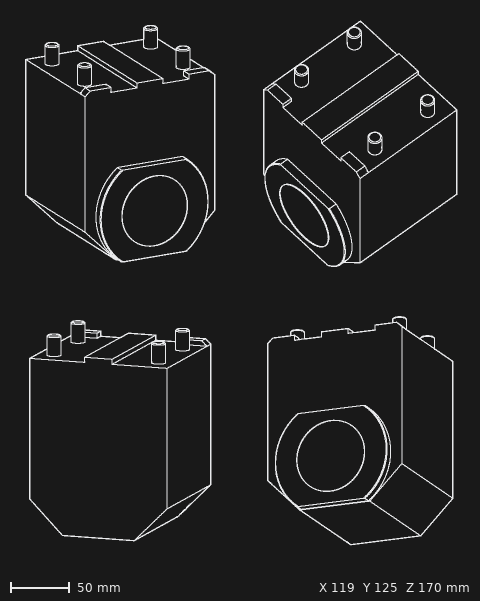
import cadquery as cq

total_length = 119.0
total_height = 170.0
body_length = 110.0
body_width = 125.0
pin_height = 17.5
body_height = total_height - pin_height
bottom_chamfer = 30.0

raised_height = 4.5
rail_width = 25.0
pad_length = 9.7
pad_width = 25.0
pad_chamfer_width = 5.0

pin_diameter = 12.0
pin_chamfer = 1.0
first_pin_x = 20.0
pin_spacing_x = 60.0
pin_spacing_y = 95.0

flange_diameter = 104.2
flange_height = 83.1
flange_center_z = 42.0
flange_edge_chamfer = 0.7
face_disc_diameter = 63.0
face_disc_thickness = 0.7
flange_thickness = total_length - body_length - face_disc_thickness


def make_body():
    """Block with both lower long edges cut at 45 degrees."""
    block = cq.Workplane("XY").box(body_length, body_width, body_height, centered=(False, True, False))
    return block.faces("<Z").edges("|X").chamfer(bottom_chamfer)


def make_rail():
    """Central rail along the whole top face."""
    rail = cq.Workplane("XY").box(body_length, rail_width, raised_height, centered=(False, True, False))
    return rail.translate((0, 0, body_height))


def make_pad():
    """Corner pad at the front +Y corner, sloped on its outer side."""
    outer_y = body_width / 2
    inner_y = outer_y - pad_width
    pad_top = body_height + raised_height
    return (
        cq.Workplane("YZ", origin=(body_length - pad_length, 0, 0))
        .moveTo(inner_y, body_height)
        .lineTo(outer_y, body_height)
        .lineTo(outer_y - pad_chamfer_width, pad_top)
        .lineTo(inner_y, pad_top)
        .close()
        .extrude(pad_length)
    )


def make_pins():
    """Four pins with chamfered tips."""
    center_x = first_pin_x + pin_spacing_x / 2
    return (
        cq.Workplane("XY", origin=(center_x, 0, body_height))
        .rarray(pin_spacing_x, pin_spacing_y, 2, 2)
        .circle(pin_diameter / 2)
        .extrude(pin_height)
        .faces(">Z")
        .edges()
        .chamfer(pin_chamfer)
    )


def make_flange():
    """Flatted disc with a chamfered round rim, carrying a thin round face."""
    start = cq.Workplane("YZ", origin=(body_length, 0, flange_center_z))
    disc = start.circle(flange_diameter / 2).extrude(flange_thickness)
    disc = disc.faces(">X").edges().chamfer(flange_edge_chamfer)
    flats = start.rect(flange_diameter, flange_height).extrude(flange_thickness)
    face_disc = start.circle(face_disc_diameter / 2).extrude(flange_thickness + face_disc_thickness)
    return disc.intersect(flats).union(face_disc)


pad = make_pad()
result = (
    make_body()
    .union(make_rail())
    .union(pad)
    .union(pad.mirror("XZ"))
    .union(make_pins())
    .union(make_flange())
)